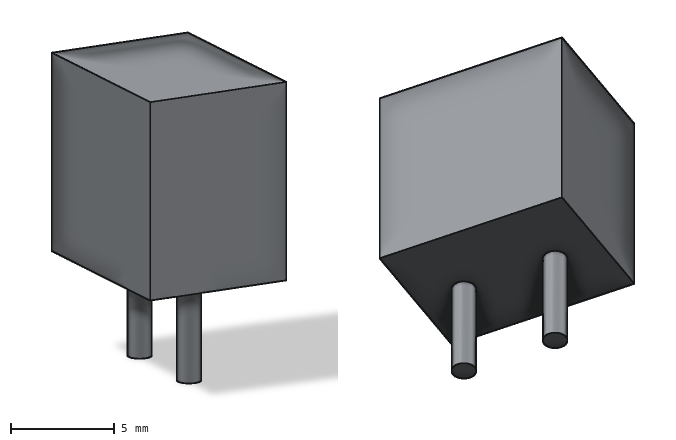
import cadquery as cq

total_height = 15.1
body_width = 10.0
body_depth = 7.5
body_height = body_width

pin_diameter = 1.2
pin_spacing = body_width / 2
pin_offset_y = -0.25
pin_length = total_height - body_height


def make_body():
    """Plain rectangular block with its underside on Z = 0."""
    return cq.Workplane("XY").box(body_width, body_depth, body_height, centered=(True, True, False))


def make_pin(x):
    """Round pin hanging from the underside of the body."""
    return (
        cq.Workplane("XY")
        .center(x, pin_offset_y)
        .circle(pin_diameter / 2)
        .extrude(-pin_length)
    )


body = make_body()
pins = [make_pin(side * pin_spacing / 2) for side in (-1, 1)]

result = cq.Compound.makeCompound([body.val(), *[pin.val() for pin in pins]])